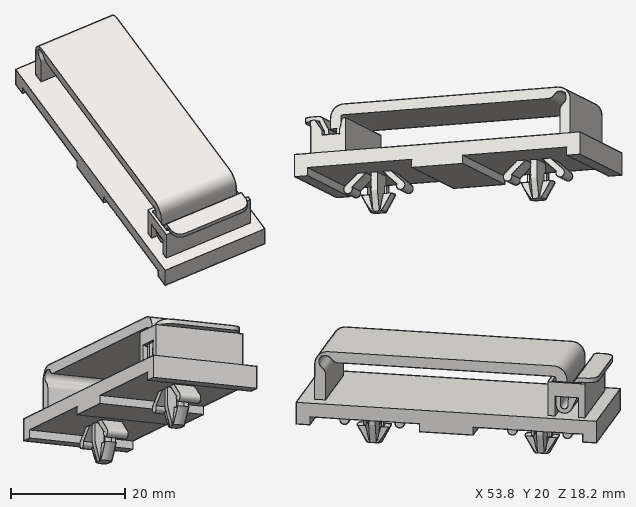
import cadquery as cq
import math

BASE_LENGTH = 53.8
BASE_WIDTH = 20.0
BASE_THICKNESS = 4.0
RECESS_DEPTH = 1.45
END_FOOT_LENGTH = 2.5
MIDDLE_FOOT_LENGTH = 9.65
PLATE_UNDERSIDE = RECESS_DEPTH - BASE_THICKNESS

CATCH_LEFT = 17.85
CATCH_RIGHT = 24.5
CATCH_WIDTH = 16.85
CATCH_HEIGHT = 6.2
CATCH_WALL = 0.55
CAVITY_LEFT = 19.15
CAVITY_RIGHT = 23.35
CAVITY_HEIGHT = 3.6
THROAT_TOP_LEFT = 18.5
THROAT_TOP_RIGHT = 23.65
THROAT_LEFT = 19.0
THROAT_RIGHT = 22.4
THROAT_FLOOR = 3.45
LEAD_IN_DEPTH = 1.85

ANCHOR_SPACING = 30.1
ANCHOR_WIDTH = 4.0
ANCHOR_BOTTOM = -9.3
POST_THICKNESS = 1.2
POST_TAPER_TOP = -5.8
POST_WIDTH_AT_BARBS = 3.75
TIP_WIDTH = 2.15
BARB_TOP = -6.3
BARB_TOP_RADIUS = 3.0
BARB_BOTTOM_RADIUS = 1.4
BARB_WEB = 0.45
GAP_TOP = 1.35
GAP_BOTTOM = 0.75
FIN_TOP = -4.85
FIN_RADIUS = 1.9
WING_ANGLE = 42
WING_THICKNESS = 1.1
WING_TIP_RADIUS = 0.8
WING_TIP_OFFSET = 4.95
WING_TIP_Z = -5.2

STRAP_WIDTH = 15.05
STRAP_TOP = 8.9
STRAP_THICKNESS = 1.95
STRAP_LEFT = -24.1
STRAP_BEND_RADIUS = 2.4
STRAP_UNDERSIDE = STRAP_TOP - STRAP_THICKNESS
HINGE_RELIEF_RADIUS = 1.2
RELIEF_EDGE_RADIUS = 1.35

ARM_THICKNESS = 0.8
LEG_LEFT = CAVITY_LEFT
LEG_RIGHT = LEG_LEFT + STRAP_THICKNESS
HOOK_BOTTOM = 0.3
HOOK_INNER_RADIUS = 0.65
HOOK_OUTER_RADIUS = HOOK_INNER_RADIUS + ARM_THICKNESS
SLOT_LEFT = LEG_LEFT + ARM_THICKNESS
SLOT_TOP_X = 21.45
SLOT_TOP_Z = 4.55
ARM_BEND_X = 21.75
ARM_BEND_Z = 5.0
BARB_TIP_X = 23.0
BARB_TIP_Z = 3.55
ARM_NECK_X = 22.2
ARM_LEAN = 27.6
LEVER_END = 26.4
LEVER_TOP = CATCH_HEIGHT + ARM_THICKNESS
LEVER_EDGE_RADIUS = 0.95
LEVER_CORNER_RADIUS = 1.9


def centred_prism(outline, width):
    """Extrude a closed XZ outline by the given width, half to each side of Y = 0."""
    return outline.extrude(width / 2, both=True)


def xz_prism(points, width):
    """Straight-sided prism along Y, centred on Y = 0."""
    return centred_prism(cq.Workplane("XZ").polyline(points).close(), width)


def block(x_min, x_max, y_min, y_max, z_min, z_max):
    """Box given by its limits on each axis."""
    size = (x_max - x_min, y_max - y_min, z_max - z_min)
    return cq.Workplane("XY").box(*size, centered=False).translate((x_min, y_min, z_min))


def point_at(centre, radius, angle):
    """Point on a circle at an angle in radians from +X."""
    return (centre[0] + radius * math.cos(angle), centre[1] + radius * math.sin(angle))


def right_tangent_angle(point, centre, radius):
    """Angle on a circle where the line from a point above it touches its right side."""
    dx = point[0] - centre[0]
    dz = point[1] - centre[1]
    return math.atan2(dz, dx) - math.acos(radius / math.hypot(dx, dz))


def make_plate():
    """Flat plate with a foot across each end and a wider one across the middle."""
    half_length = BASE_LENGTH / 2
    half_width = BASE_WIDTH / 2
    plate = block(-half_length, half_length, -half_width, half_width, -BASE_THICKNESS, 0)
    recess_start = MIDDLE_FOOT_LENGTH / 2
    recess_end = half_length - END_FOOT_LENGTH
    for x_min, x_max in ((-recess_end, -recess_start), (recess_start, recess_end)):
        plate = plate.cut(block(x_min, x_max, -half_width, half_width, -BASE_THICKNESS, PLATE_UNDERSIDE))
    return plate


def make_catch():
    """Box with a low cavity open to -Y and, above it, a lipped throat open to +Y."""
    outer = CATCH_WIDTH / 2
    inner = outer - CATCH_WALL
    catch = block(CATCH_LEFT, CATCH_RIGHT, -outer, outer, 0, CATCH_HEIGHT)
    cavity = block(CAVITY_LEFT, CAVITY_RIGHT, -outer, inner, 0, CAVITY_HEIGHT)
    lead_in_bottom = CATCH_HEIGHT - LEAD_IN_DEPTH
    throat = (
        cq.Workplane("XZ", origin=(0, outer, 0))
        .polyline(
            [
                (THROAT_TOP_LEFT, CATCH_HEIGHT),
                (THROAT_LEFT, lead_in_bottom),
                (THROAT_LEFT, THROAT_FLOOR),
                (THROAT_RIGHT, THROAT_FLOOR),
                (THROAT_RIGHT, lead_in_bottom),
                (THROAT_TOP_RIGHT, CATCH_HEIGHT),
            ]
        )
        .close()
        .extrude(outer + inner)
    )
    return catch.cut(cavity).cut(throat)


def make_post():
    """Central blade of an anchor, narrowing in Y in two stages towards its tip."""
    half_width = ANCHOR_WIDTH / 2
    half_kink = POST_WIDTH_AT_BARBS / 2
    half_tip = TIP_WIDTH / 2
    outline = [
        (-half_width, PLATE_UNDERSIDE),
        (-half_width, POST_TAPER_TOP),
        (-half_kink, BARB_TOP),
        (-half_tip, ANCHOR_BOTTOM),
        (half_tip, ANCHOR_BOTTOM),
        (half_kink, BARB_TOP),
        (half_width, POST_TAPER_TOP),
        (half_width, PLATE_UNDERSIDE),
    ]
    return cq.Workplane("YZ").polyline(outline).close().extrude(POST_THICKNESS / 2, both=True)


def make_barbs():
    """Two conical barbs with upright fins, joined to the post only at its tip."""
    reach = BARB_TOP_RADIUS
    cone_height = BARB_TOP - ANCHOR_BOTTOM
    cone = cq.Workplane(
        cq.Solid.makeCone(BARB_BOTTOM_RADIUS, BARB_TOP_RADIUS, cone_height, cq.Vector(0, 0, ANCHOR_BOTTOM))
    )
    half_tip = TIP_WIDTH / 2
    barbs = cone.intersect(block(-reach, reach, -half_tip, half_tip, ANCHOR_BOTTOM, BARB_TOP))

    half_post = POST_THICKNESS / 2
    fin_height = FIN_TOP - BARB_TOP
    fin_ring = cq.Workplane("XY", origin=(0, 0, BARB_TOP)).circle(FIN_RADIUS).extrude(fin_height)
    fins = fin_ring.intersect(block(-reach, reach, -half_post, half_post, BARB_TOP, FIN_TOP))
    barbs = barbs.union(fins)

    web_top = ANCHOR_BOTTOM + BARB_WEB
    for side in (-1, 1):
        gap = [
            (0, web_top),
            (side * GAP_BOTTOM, web_top),
            (side * GAP_TOP, BARB_TOP),
            (side * GAP_TOP, FIN_TOP),
            (0, FIN_TOP),
        ]
        barbs = barbs.cut(xz_prism(gap, ANCHOR_WIDTH))
    return barbs


def make_wing():
    """Right-hand spring wing: a sloping arm whose upper face is tangent to its round tip."""
    slope = math.radians(WING_ANGLE)
    tip = (WING_TIP_OFFSET, WING_TIP_Z)
    upper_end = point_at(tip, WING_TIP_RADIUS, math.pi / 2 - slope)
    lower_end = point_at(tip, WING_TIP_RADIUS - WING_THICKNESS, math.pi / 2 - slope)

    def root(end):
        """Point where the arm face through `end` meets the plate."""
        return (end[0] - (PLATE_UNDERSIDE - end[1]) / math.tan(slope), PLATE_UNDERSIDE)

    arm = xz_prism([upper_end, root(upper_end), root(lower_end), lower_end], ANCHOR_WIDTH)
    ball = centred_prism(cq.Workplane("XZ").center(*tip).circle(WING_TIP_RADIUS), ANCHOR_WIDTH)
    return arm.union(ball)


def make_anchor():
    """Snap anchor on the Z axis: post, barbs and a spring wing on each side."""
    wing = make_wing()
    return make_post().union(make_barbs()).union(wing).union(wing.mirror("YZ"))


def make_base():
    """Plate, catch and both anchors as one body."""
    base = make_plate().union(make_catch())
    anchor = make_anchor()
    for side in (-1, 1):
        base = base.union(anchor.translate((side * ANCHOR_SPACING / 2, 0, 0)))
    return base


def make_band():
    """Left post, top band and right leg, thinned to a hinge at the left bend."""
    bend_z = STRAP_TOP - STRAP_BEND_RADIUS
    left_bend = (STRAP_LEFT + STRAP_BEND_RADIUS, bend_z)
    right_bend = (LEG_RIGHT - STRAP_BEND_RADIUS, bend_z)
    inner_radius = STRAP_BEND_RADIUS - STRAP_THICKNESS
    up_right = math.radians(45)
    up_left = math.radians(135)
    down_left = math.radians(225)
    corner = (STRAP_LEFT + STRAP_THICKNESS, STRAP_UNDERSIDE)
    lead_out = HINGE_RELIEF_RADIUS * math.sqrt(2)
    outline = (
        cq.Workplane("XZ")
        .moveTo(STRAP_LEFT, 0)
        .lineTo(STRAP_LEFT, bend_z)
        .threePointArc(point_at(left_bend, STRAP_BEND_RADIUS, up_left), (left_bend[0], STRAP_TOP))
        .lineTo(right_bend[0], STRAP_TOP)
        .threePointArc(point_at(right_bend, STRAP_BEND_RADIUS, up_right), (LEG_RIGHT, bend_z))
        .lineTo(LEG_RIGHT, SLOT_TOP_Z)
        .lineTo(LEG_LEFT, SLOT_TOP_Z)
        .lineTo(LEG_LEFT, bend_z)
        .threePointArc(point_at(right_bend, inner_radius, up_right), (right_bend[0], STRAP_UNDERSIDE))
        .lineTo(corner[0] + lead_out, corner[1])
        .lineTo(*point_at(corner, HINGE_RELIEF_RADIUS, up_right))
        .threePointArc(
            point_at(corner, HINGE_RELIEF_RADIUS, up_left),
            point_at(corner, HINGE_RELIEF_RADIUS, down_left),
        )
        .lineTo(corner[0], corner[1] - lead_out)
        .lineTo(corner[0], 0)
        .close()
    )
    band = centred_prism(outline, STRAP_WIDTH)
    for x, z in ((corner[0] + lead_out, corner[1]), (corner[0], corner[1] - lead_out)):
        relief_edge = cq.selectors.NearestToPointSelector((x, 0, z))
        band = band.edges("|Y").edges(relief_edge).fillet(RELIEF_EDGE_RADIUS)
    return band


def make_hook():
    """J-shaped spring arm with an outer barb, ending in a flat finger lever."""
    centre = (SLOT_LEFT + HOOK_INNER_RADIUS, HOOK_BOTTOM + HOOK_OUTER_RADIUS)
    slot_top = (SLOT_TOP_X, SLOT_TOP_Z)
    barb_tip = (BARB_TIP_X, BARB_TIP_Z)
    inner_angle = right_tangent_angle(slot_top, centre, HOOK_INNER_RADIUS)
    outer_angle = right_tangent_angle(barb_tip, centre, HOOK_OUTER_RADIUS)
    lean = math.radians(ARM_LEAN)

    roll_end_z = LEVER_TOP - LEVER_EDGE_RADIUS * (1 - math.sin(lean))
    roll_end = (ARM_BEND_X + (roll_end_z - ARM_BEND_Z) * math.tan(lean), roll_end_z)
    roll_centre = (roll_end[0] + LEVER_EDGE_RADIUS * math.cos(lean), LEVER_TOP - LEVER_EDGE_RADIUS)
    roll_middle = point_at(roll_centre, LEVER_EDGE_RADIUS, math.pi * 3 / 4 - lean / 2)

    lower_face_x = ARM_BEND_X + ARM_THICKNESS / math.cos(lean)
    neck_top_z = ARM_BEND_Z - (lower_face_x - ARM_NECK_X) / math.tan(lean)
    lever_root_x = lower_face_x + (CATCH_HEIGHT - ARM_BEND_Z) * math.tan(lean)

    outline = (
        cq.Workplane("XZ")
        .moveTo(LEG_LEFT, SLOT_TOP_Z)
        .lineTo(LEG_LEFT, centre[1])
        .threePointArc(
            (centre[0], HOOK_BOTTOM),
            point_at(centre, HOOK_OUTER_RADIUS, outer_angle),
        )
        .lineTo(*barb_tip)
        .lineTo(ARM_NECK_X, BARB_TIP_Z)
        .lineTo(ARM_NECK_X, neck_top_z)
        .lineTo(lever_root_x, CATCH_HEIGHT)
        .lineTo(LEVER_END, CATCH_HEIGHT)
        .lineTo(LEVER_END, LEVER_TOP)
        .lineTo(roll_centre[0], LEVER_TOP)
        .threePointArc(roll_middle, roll_end)
        .lineTo(ARM_BEND_X, ARM_BEND_Z)
        .lineTo(*slot_top)
        .lineTo(*point_at(centre, HOOK_INNER_RADIUS, inner_angle))
        .threePointArc(
            (centre[0], centre[1] - HOOK_INNER_RADIUS),
            (SLOT_LEFT, centre[1]),
        )
        .lineTo(SLOT_LEFT, SLOT_TOP_Z)
        .close()
    )
    hook = centred_prism(outline, STRAP_WIDTH)
    return hook.edges("|Z and >X").fillet(LEVER_CORNER_RADIUS)


def make_strap():
    """Hinged strap standing on the plate and hooked into the catch, as one body."""
    return make_band().union(make_hook())


base = make_base()
strap = make_strap()

result = cq.Compound.makeCompound([base.solids().val(), strap.solids().val()])